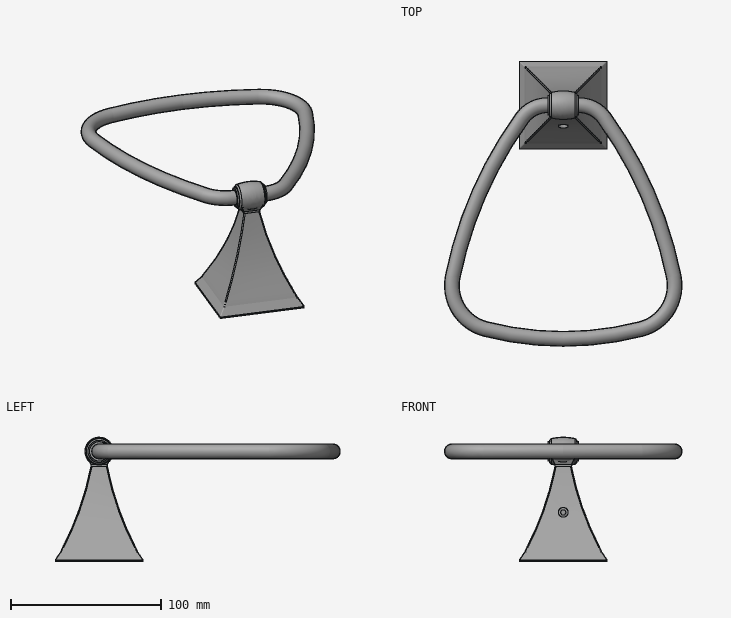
import cadquery as cq
import math

foot_half = 29.2
foot_edge_height = 1.0
skirt_half = 25.6
skirt_top = 6.3
step_half = 25.0
step_top = 7.5
flare_base_half = 24.3
flare_base = 9.3
flare_mid_half = 12.1
flare_mid = 38.0
neck_half = 5.5
post_top = 63.2
corner_fillet = 0.8

bar_height = 73.3
crown_radius = 9.5
barrel_rim_radius = 8.5
barrel_rim_half = 8.0
barrel_face_radius = 7.4
barrel_half = 9.1
neck_flare_start = 64.5
neck_flare_end = 68.7
neck_flare_half = 7.5

collar_radius = 6.5
collar_width = 1.1

bar_radius = 5.0
straight_half = 10.5
shoulder_radius = 21.0
shoulder_sweep = 54.2
side_radius = 272.2
side_sweep = 24.4
corner_radius = 30.0
corner_sweep = 87.0

screw_height = 32.6
screw_radius = 3.2
screw_length = 4.7
screw_hole_bottom = -4.7
socket_across_corners = 3.8
socket_depth = 2.3


def straight_tier(bottom_half, bottom, top_half, top):
    """Square tier with flat sides and rounded corners."""
    tier = (
        cq.Workplane("XY", origin=(0, 0, bottom))
        .rect(2 * bottom_half, 2 * bottom_half)
        .workplane(offset=top - bottom)
        .rect(2 * top_half, 2 * top_half)
        .loft()
    )
    return tier.edges("not #Z").fillet(corner_fillet)


def flare_slab(plane):
    """Slab whose two sides are the hollow curve of the post."""
    return (
        cq.Workplane(plane)
        .moveTo(-flare_base_half, flare_base)
        .lineTo(flare_base_half, flare_base)
        .threePointArc((flare_mid_half, flare_mid), (neck_half, post_top))
        .lineTo(-neck_half, post_top)
        .threePointArc((-flare_mid_half, flare_mid), (-flare_base_half, flare_base))
        .close()
        .extrude(foot_half, both=True)
    )


def flared_tier():
    """Square column with four hollow-curved faces and rounded corners."""
    tier = flare_slab("XZ").intersect(flare_slab("YZ"))
    return tier.edges("%ELLIPSE").fillet(corner_fillet)


def along_front(radius, start_y, end_y):
    """Cylinder along Y at the height of the set screw."""
    return (
        cq.Workplane("XZ", origin=(0, end_y, screw_height))
        .circle(radius)
        .extrude(end_y - start_y)
    )


def make_post():
    post = (
        straight_tier(foot_half, 0, foot_half, foot_edge_height)
        .union(straight_tier(foot_half, foot_edge_height, skirt_half, skirt_top))
        .union(straight_tier(skirt_half, skirt_top, step_half, step_top))
        .union(straight_tier(step_half, step_top, flare_base_half, flare_base))
        .union(flared_tier())
    )
    return post.cut(along_front(screw_radius, -foot_half, screw_hole_bottom))


def make_set_screw():
    outer_end = screw_hole_bottom - screw_length
    screw = along_front(screw_radius, outer_end, screw_hole_bottom)
    socket = (
        cq.Workplane("XZ", origin=(0, outer_end + socket_depth, screw_height))
        .polygon(6, socket_across_corners)
        .extrude(socket_depth)
    )
    return screw.cut(socket)


def make_head():
    barrel = (
        cq.Workplane("XY")
        .moveTo(-barrel_half, 0)
        .lineTo(-barrel_half, barrel_face_radius)
        .lineTo(-barrel_rim_half, barrel_rim_radius)
        .threePointArc((0, crown_radius), (barrel_rim_half, barrel_rim_radius))
        .lineTo(barrel_half, barrel_face_radius)
        .lineTo(barrel_half, 0)
        .close()
        .revolve(360, (0, 0, 0), (1, 0, 0))
        .translate((0, 0, bar_height))
    )
    neck_base = (
        cq.Workplane("XY", origin=(0, 0, post_top))
        .rect(2 * neck_half, 2 * neck_half)
        .extrude(neck_flare_start - post_top)
    )
    neck_flare = (
        cq.Workplane("XY", origin=(0, 0, neck_flare_start))
        .rect(2 * neck_half, 2 * neck_half)
        .workplane(offset=neck_flare_end - neck_flare_start)
        .rect(2 * neck_flare_half, 2 * neck_flare_half)
        .loft()
    )
    bore = (
        cq.Workplane("YZ", origin=(0, 0, bar_height))
        .circle(bar_radius)
        .extrude(barrel_half, both=True)
    )
    return barrel.union(neck_base).union(neck_flare).cut(bore)


def make_collar(side):
    """Plain bushing on the bar; side is -1 for -X and 1 for +X."""
    return (
        cq.Workplane("YZ", origin=(side * barrel_half, 0, bar_height))
        .circle(collar_radius)
        .circle(bar_radius)
        .extrude(side * collar_width)
    )


def arc_point(center_x, center_y, radius, heading):
    """Point where a counterclockwise arc runs in the given direction."""
    return (center_x + radius * math.sin(heading), center_y - radius * math.cos(heading))


def ring_half_arcs(start_x):
    """Mid and end points of the arcs of the -X half of the ring, from top to bottom.

    Each arc leaves in the direction in which the one before it ended. The last
    arc has its centre on X = 0, so it runs on smoothly into its mirror image.
    """
    bends = [
        (shoulder_radius, math.radians(shoulder_sweep)),
        (side_radius, math.radians(side_sweep)),
        (corner_radius, math.radians(corner_sweep)),
    ]
    x, y, heading = start_x, 0.0, math.pi
    arcs = []
    for radius, sweep in bends:
        center_x = x - radius * math.sin(heading)
        center_y = y + radius * math.cos(heading)
        middle = arc_point(center_x, center_y, radius, heading + sweep / 2)
        heading += sweep
        x, y = arc_point(center_x, center_y, radius, heading)
        arcs.append((middle, (x, y)))
    bottom_radius = x / math.sin(heading)
    center_y = y + bottom_radius * math.cos(heading)
    middle = arc_point(0, center_y, bottom_radius, (heading + 2 * math.pi) / 2)
    arcs.append((middle, (0, center_y - bottom_radius)))
    return arcs


def make_ring():
    arcs = ring_half_arcs(-straight_half)
    path = cq.Workplane("XY", origin=(0, 0, bar_height)).lineTo(-straight_half, 0)
    for middle, end in arcs:
        path = path.threePointArc(middle, end)
    half = cq.Workplane("YZ", origin=(0, 0, bar_height)).circle(bar_radius).sweep(path)
    return half.union(half.mirror("YZ"))


post = make_post()
set_screw = make_set_screw()
head = make_head()
collars = [make_collar(side) for side in (-1, 1)]
ring = make_ring()

result = cq.Compound.makeCompound([
    post.solids().val(),
    set_screw.solids().val(),
    head.solids().val(),
    *[collar.solids().val() for collar in collars],
    ring.solids().val(),
])